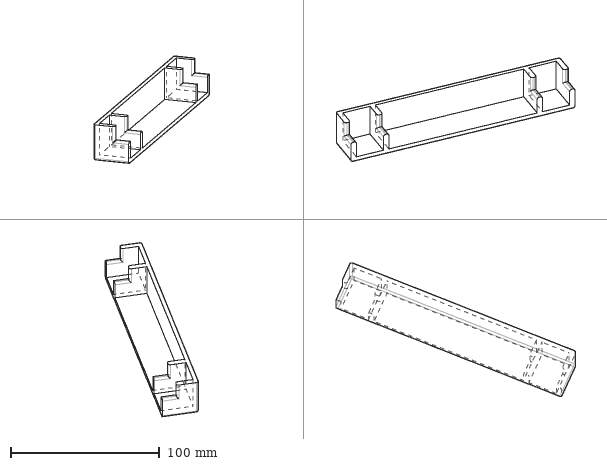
import cadquery as cq

depth = 25.0
length = 165.0
height = 25.0

wall = 3.0
rib_thickness = 4.0
rib_pitch = 24.0
step_size = 15.2
edge_radius = 1.5


def block(size_x, size_y, size_z):
    """Box with its low corner on the back and bottom faces, centred on Y."""
    return cq.Workplane("XY").box(size_x, size_y, size_z, centered=(False, True, False))


def make_rib(center_y):
    """L-shaped rib with rounded edges along its step."""
    tall_part = block(step_size, rib_thickness, height).edges("|Z and >X").fillet(edge_radius)
    low_part = block(depth, rib_thickness, step_size).edges("|X and >Z").fillet(edge_radius)
    return tall_part.union(low_part).translate((0, center_y, 0))


back_wall = block(wall, length, height)
floor = block(depth, length, wall)
body = back_wall.union(floor)

outer_rib_y = (length - rib_thickness) / 2
inner_rib_y = outer_rib_y - rib_pitch
for rib_y in (outer_rib_y, inner_rib_y):
    for side in (-1, 1):
        body = body.union(make_rib(side * rib_y))

rounded_envelope = (
    block(depth, length, height)
    .edges("(|Z and <X) or (|Y and <X and <Z) or (|X and <Z)")
    .fillet(edge_radius)
)
result = body.intersect(rounded_envelope)